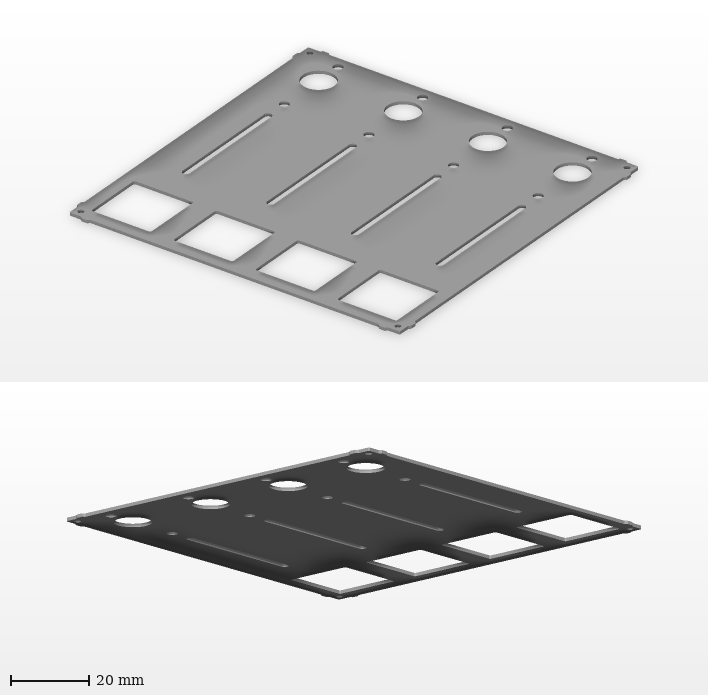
import cadquery as cq

overall_size = 105.6
thickness = 0.91
tab_height = 0.6
plate_size = overall_size - 2 * tab_height
plate_corner_radius = 0.4

tab_tip_width = 1.8
tab_flare = 0.6
tab_root_radius = 0.5
tab_offset = 47.0
tab_strip_depth = 1.1

corner_hole_diameter = 1.8
corner_hole_offset = 50.1

channel_count = 4
channel_pitch = 26.7
screw_hole_diameter = 2.9
upper_screw_y = 48.5
lower_screw_y = 25.0
round_opening_diameter = 9.8
round_opening_y = 40.0
slot_width = 2.2
slot_length = 38.0
slot_y = 0.0

window_pitch = 25.9
window_size = 18.8
window_corner_radius = 0.5
window_y = -38.8


def row(pitch, y):
    """Centres of one feature per channel, spread evenly about X = 0."""
    first_x = -pitch * (channel_count - 1) / 2
    return [(first_x + i * pitch, y) for i in range(channel_count)]


def tab_pair():
    """Strip along the +Y edge carrying two flared tabs with rounded roots."""
    edge_y = plate_size / 2
    tip_y = overall_size / 2
    inner_y = edge_y - tab_strip_depth
    half_strip = edge_y - plate_corner_radius
    half_tip = tab_tip_width / 2
    half_root = half_tip + tab_flare

    outline = [(-half_strip, inner_y), (-half_strip, edge_y)]
    for x in (-tab_offset, tab_offset):
        outline += [
            (x - half_root, edge_y),
            (x - half_tip, tip_y),
            (x + half_tip, tip_y),
            (x + half_root, edge_y),
        ]
    outline += [(half_strip, edge_y), (half_strip, inner_y)]
    strip = cq.Workplane("XY").polyline(outline).close().extrude(thickness)

    for x in (-tab_offset, tab_offset):
        for root_x in (x - half_root, x + half_root):
            root_edge = cq.selectors.NearestToPointSelector((root_x, edge_y, thickness / 2))
            strip = strip.edges(root_edge).fillet(tab_root_radius)
    return strip


def tabbed_plate():
    plate = cq.Workplane("XY").rect(plate_size, plate_size).extrude(thickness)
    plate = plate.edges("|Z").fillet(plate_corner_radius)
    tabs = tab_pair()
    for quarter_turn in range(4):
        plate = plate.union(tabs.rotate((0, 0, 0), (0, 0, 1), 90 * quarter_turn))
    return plate.clean()


def round_holes(points, diameter):
    return cq.Workplane("XY").pushPoints(points).circle(diameter / 2).extrude(thickness)


def corner_holes():
    offsets = (-corner_hole_offset, corner_hole_offset)
    points = [(x, y) for x in offsets for y in offsets]
    return round_holes(points, corner_hole_diameter)


def screw_holes():
    points = row(channel_pitch, upper_screw_y) + row(channel_pitch, lower_screw_y)
    return round_holes(points, screw_hole_diameter)


def round_openings():
    return round_holes(row(channel_pitch, round_opening_y), round_opening_diameter)


def slots():
    points = row(channel_pitch, slot_y)
    return cq.Workplane("XY").pushPoints(points).slot2D(slot_length, slot_width, 90).extrude(thickness)


def windows():
    points = row(window_pitch, window_y)
    blocks = cq.Workplane("XY").pushPoints(points).rect(window_size, window_size).extrude(thickness)
    return blocks.edges("|Z").fillet(window_corner_radius)


result = tabbed_plate()
for cutout in (corner_holes(), screw_holes(), round_openings(), slots(), windows()):
    result = result.cut(cutout)